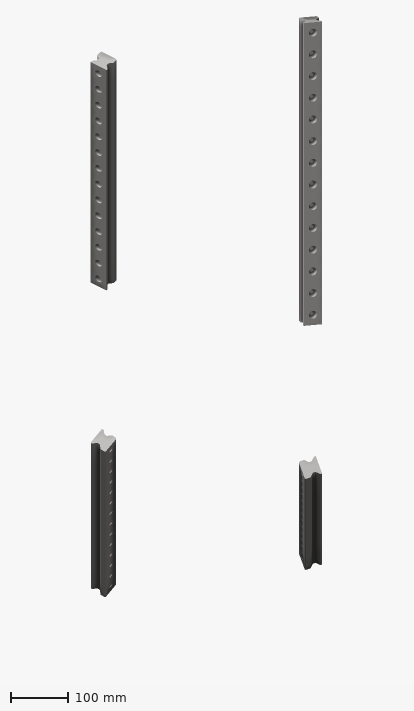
import cadquery as cq

length = 558.0
width = 34.0
height = 32.0

head_thickness = 3.5
groove_depth = 6.5
groove_floor = 5.0
base_chamfer = 1.5
head_chamfer = 0.5

hole_count = 14
end_margin = 19.0
hole_pitch = (length - 2 * end_margin) / (hole_count - 1)
hole_diameter = 9.0
counterbore_diameter = 14.5
counterbore_depth = 12.0

half_width = width / 2
half_height = height / 2


def rail_body():
    """Extrude the symmetric rail section, centred on the origin."""
    waist = half_width - groove_depth
    groove_start = -half_height + head_thickness
    floor_start = groove_start + groove_depth
    floor_end = floor_start + groove_floor
    groove_end = floor_end + groove_depth
    right_side = [
        (half_width - head_chamfer, -half_height),
        (half_width, head_chamfer - half_height),
        (half_width, groove_start),
        (waist, floor_start),
        (waist, floor_end),
        (half_width, groove_end),
        (half_width, half_height - base_chamfer),
        (half_width - base_chamfer, half_height),
    ]
    left_side = [(-x, y) for x, y in reversed(right_side)]
    section = cq.Workplane("XY").polyline(right_side + left_side).close()
    return section.extrude(length / 2, both=True)


def cut_mounting_holes(body):
    """Cut one evenly spaced row of counterbored through holes."""
    return (
        body.faces("<Y")
        .workplane(origin=(0, -half_height, 0))
        .rarray(5.5, hole_pitch, 1, hole_count)
        .cboreHole(hole_diameter, counterbore_diameter, counterbore_depth)
    )


result = cut_mounting_holes(rail_body())